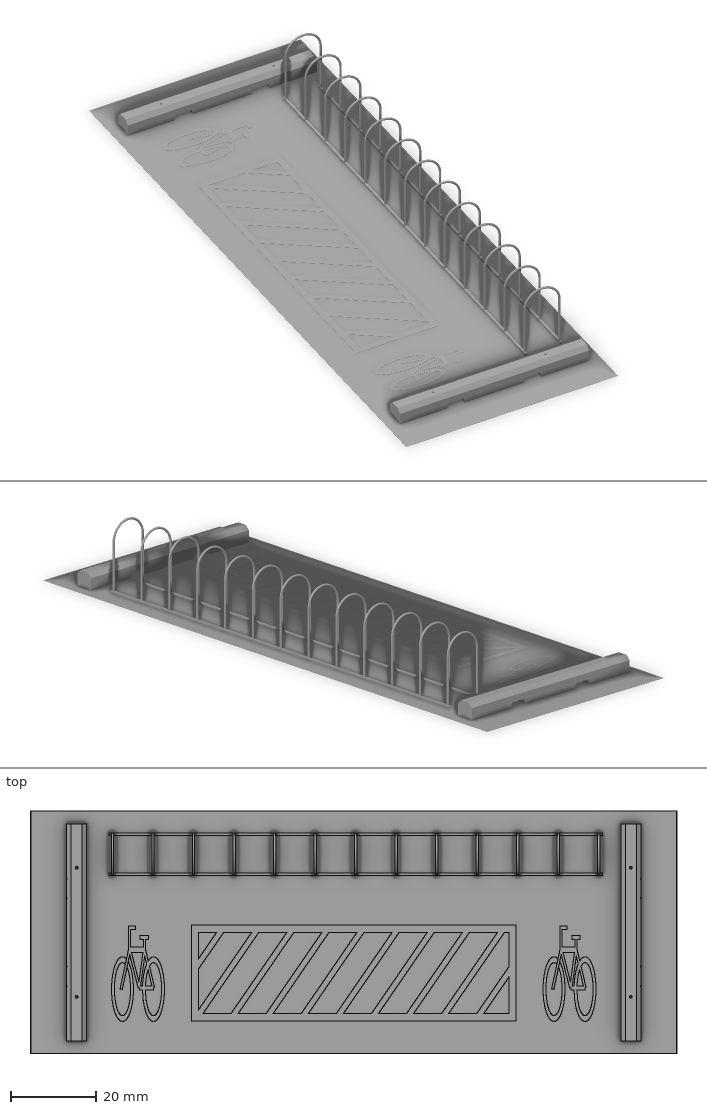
import cadquery as cq
import math

PLATE_LENGTH = 151.8
PLATE_WIDTH = 57.1
PLATE_THICKNESS = 0.08

TOTAL_HEIGHT = 17.8

CURB_X = 65.1
CURB_WIDTH = 4.7
CURB_LENGTH = 51.0
CURB_HEIGHT = 4.1
CURB_CHAMFER = 1.0
CURB_HOLE_DIAMETER = 0.6
CURB_HOLE_Y = 15.2
NOTCH_Y = 10.3
NOTCH_BASE = 4.9
NOTCH_TOP = 4.3
NOTCH_HEIGHT = 1.4

TUBE_SIZE = 0.56
HOOP_COUNT = 13
HOOP_ROW_LENGTH = 114.3
HOOP_PITCH = HOOP_ROW_LENGTH / (HOOP_COUNT - 1)
RACK_X = 0.5
FRONT_RAIL_Y = 13.7
BACK_RAIL_Y = 23.1
RAIL_OVERHANG = 0.84

MARKING_THICKNESS = 0.08
HATCH_Y = -9.5
HATCH_LENGTH = 76.4
HATCH_WIDTH = 22.5
HATCH_BORDER = 1.7
STRIPE_COUNT = 10
STRIPE_ROW_LENGTH = 74.2
STRIPE_PITCH = STRIPE_ROW_LENGTH / (STRIPE_COUNT - 1)
STRIPE_SHIFT = -0.84
STRIPE_WIDTH = 1.4
STRIPE_LEAN = 34.5

BIKE_X = 50.7
BIKE_Y = -13.4
HUB_X = 3.6
WHEEL_RADIUS_X = 2.6
WHEEL_RADIUS_Y = 7.6
RIM_SIDE = 0.68
RIM_END = 1.4
FRAME_TUBE_WIDTH = 0.53
TOP_TUBE_WIDTH = 1.4
CHAINSTAY_WIDTH = 0.9
SADDLE_WIDTH = 0.9
GRIP_WIDTH = 0.8
POST_WIDTH = 0.5
HEAD = (-2.0, 9.3)
SEAT_JOINT = (1.5, 9.3)
CRANK = (0.3, 0.3)
FORK_TIP = (-4.0, 0.0)
REAR_HUB = (HUB_X, 0.3)
STEM_TOP = (HEAD[0], 14.9)
GRIP_END = (-0.6, 14.4)
SADDLE_CENTRE = (1.5, 12.1)
SADDLE_LENGTH = 2.0


def build_plate():
    return cq.Workplane("XY").box(
        PLATE_LENGTH, PLATE_WIDTH, PLATE_THICKNESS, centered=(True, True, False)
    )


def build_curb(x):
    base = cq.Workplane("XY", origin=(x, 0, PLATE_THICKNESS))
    curb = base.box(CURB_WIDTH, CURB_LENGTH, CURB_HEIGHT, centered=(True, True, False))
    curb = curb.edges("|Y and >Z").chamfer(CURB_CHAMFER)
    holes = base.pushPoints([(0, -CURB_HOLE_Y), (0, CURB_HOLE_Y)])
    curb = curb.cut(holes.circle(CURB_HOLE_DIAMETER / 2).extrude(CURB_HEIGHT))
    for y in (-NOTCH_Y, NOTCH_Y):
        profile = [
            (y - NOTCH_BASE / 2, 0),
            (y + NOTCH_BASE / 2, 0),
            (y + NOTCH_TOP / 2, NOTCH_HEIGHT),
            (y - NOTCH_TOP / 2, NOTCH_HEIGHT),
        ]
        side = cq.Workplane("YZ", origin=(x, 0, PLATE_THICKNESS))
        curb = curb.cut(side.polyline(profile).close().extrude(CURB_WIDTH / 2, both=True))
    return curb


def build_rack():
    radius = TUBE_SIZE / 2
    rail_z = PLATE_THICKNESS + radius
    bend_radius = (BACK_RAIL_Y - FRONT_RAIL_Y) / 2
    bend_y = FRONT_RAIL_Y + bend_radius
    spring_z = TOTAL_HEIGHT - radius - bend_radius
    rail_length = HOOP_ROW_LENGTH + 2 * RAIL_OVERHANG

    def rail(y):
        section = cq.Workplane("YZ", origin=(RACK_X - rail_length / 2, y, rail_z))
        return section.rect(TUBE_SIZE, TUBE_SIZE).extrude(rail_length)

    def hoop(x):
        path = (
            cq.Workplane("YZ", origin=(x, 0, 0))
            .moveTo(FRONT_RAIL_Y, rail_z)
            .lineTo(FRONT_RAIL_Y, spring_z)
            .threePointArc((bend_y, spring_z + bend_radius), (BACK_RAIL_Y, spring_z))
            .lineTo(BACK_RAIL_Y, rail_z)
        )
        return cq.Workplane("XY", origin=(x, FRONT_RAIL_Y, rail_z)).circle(radius).sweep(path)

    rack = rail(FRONT_RAIL_Y).union(rail(BACK_RAIL_Y))
    for i in range(HOOP_COUNT):
        rack = rack.union(hoop(RACK_X + i * HOOP_PITCH - HOOP_ROW_LENGTH / 2))
    return rack


def marking_plane(x, y):
    return cq.Workplane("XY", origin=(x, y, PLATE_THICKNESS))


def build_hatching():
    plane = marking_plane(0, HATCH_Y)
    outline = plane.rect(HATCH_LENGTH, HATCH_WIDTH).extrude(MARKING_THICKNESS)
    window = plane.rect(HATCH_LENGTH - 2 * HATCH_BORDER, HATCH_WIDTH - 2 * HATCH_BORDER)
    window = window.extrude(MARKING_THICKNESS)
    stripe_length = 2 * HATCH_WIDTH
    for i in range(STRIPE_COUNT):
        x = STRIPE_SHIFT + (i - (STRIPE_COUNT - 1) / 2) * STRIPE_PITCH
        stripe = (
            plane.center(x, 0)
            .transformed(rotate=(0, 0, -STRIPE_LEAN))
            .rect(STRIPE_WIDTH, stripe_length)
            .extrude(MARKING_THICKNESS)
        )
        window = window.cut(stripe)
    return outline.cut(window)


def build_bar(plane, start, end, width):
    dx = end[0] - start[0]
    dy = end[1] - start[1]
    return (
        plane.center((start[0] + end[0]) / 2, (start[1] + end[1]) / 2)
        .transformed(rotate=(0, 0, math.degrees(math.atan2(dy, dx))))
        .rect(math.hypot(dx, dy), width)
        .extrude(MARKING_THICKNESS)
    )


def build_wheel(plane, hub_x):
    hub = plane.center(hub_x, 0)
    tyre = hub.ellipse(WHEEL_RADIUS_X, WHEEL_RADIUS_Y).extrude(MARKING_THICKNESS)
    opening = hub.ellipse(WHEEL_RADIUS_X - RIM_SIDE, WHEEL_RADIUS_Y - RIM_END)
    return tyre.cut(opening.extrude(MARKING_THICKNESS))


def build_bike_frame(x):
    """Frame, fork, handlebar and saddle, in one piece with the rear wheel."""
    plane = marking_plane(x, BIKE_Y)
    saddle_start = (SADDLE_CENTRE[0] - SADDLE_LENGTH / 2, SADDLE_CENTRE[1])
    saddle_end = (SADDLE_CENTRE[0] + SADDLE_LENGTH / 2, SADDLE_CENTRE[1])
    grip_start = (STEM_TOP[0], GRIP_END[1])
    bars = [
        (HEAD, SEAT_JOINT, TOP_TUBE_WIDTH),
        (HEAD, CRANK, FRAME_TUBE_WIDTH),
        (SEAT_JOINT, CRANK, FRAME_TUBE_WIDTH),
        (SEAT_JOINT, REAR_HUB, FRAME_TUBE_WIDTH),
        (CRANK, REAR_HUB, CHAINSTAY_WIDTH),
        (HEAD, FORK_TIP, FRAME_TUBE_WIDTH),
        (HEAD, STEM_TOP, POST_WIDTH),
        (grip_start, GRIP_END, GRIP_WIDTH),
        (SEAT_JOINT, SADDLE_CENTRE, POST_WIDTH),
        (saddle_start, saddle_end, SADDLE_WIDTH),
    ]
    frame = build_wheel(plane, HUB_X)
    for start, end, width in bars:
        frame = frame.union(build_bar(plane, start, end, width))
    return frame


def build_front_wheel(x, frame):
    """Front wheel, open where the frame and fork pass across it."""
    return build_wheel(marking_plane(x, BIKE_Y), -HUB_X).cut(frame)


plate = build_plate()
rack = build_rack()
hatching = build_hatching()
curbs = [build_curb(x) for x in (-CURB_X, CURB_X)]
bike_frames = []
front_wheels = []
for bike_x in (-BIKE_X, BIKE_X):
    bike_frame = build_bike_frame(bike_x)
    bike_frames.append(bike_frame)
    front_wheels.append(build_front_wheel(bike_x, bike_frame))

bodies = [plate, rack, hatching, *curbs, *bike_frames, *front_wheels]
result = cq.Compound.makeCompound([body.val() for body in bodies])